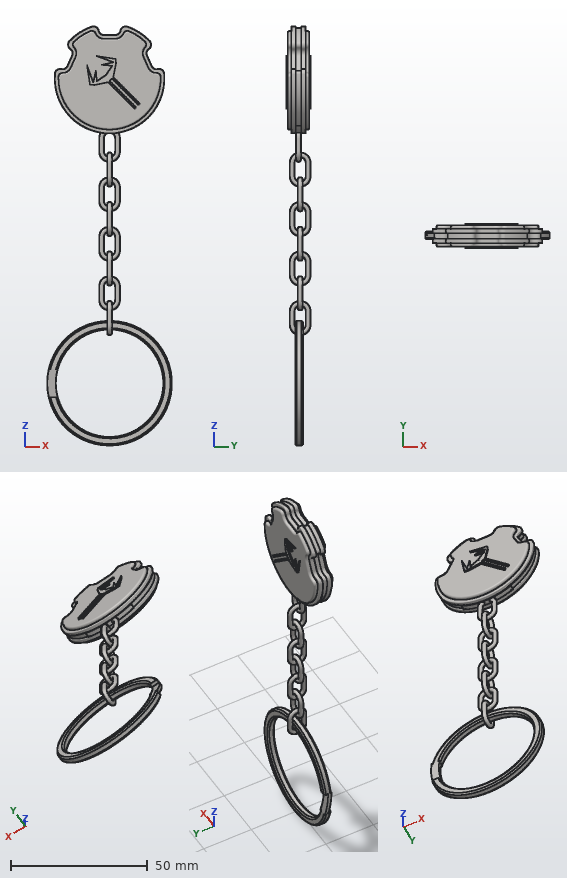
import cadquery as cq
import math

ring_radius = 22.8
ring_width = 3.2
coil_thickness = 1.45
coil_chamfer = 0.6
crossover_half_height = 5.0
ring_y = 0.23
ring_center_z = ring_radius
ring_inner_radius = ring_radius - ring_width

link_count = 8
wire_diameter = 1.8
link_length = 12.5
link_width = 7.7
link_bite = 0.2
ring_gap = 0.23
chain_y = 0.6
wire_radius = wire_diameter / 2
link_pitch = link_length - 2 * wire_diameter + link_bite
last_link_z = ring_center_z + ring_inner_radius - ring_gap - wire_diameter + link_length / 2

medallion_radius = 20.1
notch_angles = [24, 90, 156]
notch_floor = 16.0
notch_half_width = 4.0
notch_corner_radius = 1.8
rim_tip_radius = 2.0
core_thickness = wire_diameter
core_inset = 0.6
lug_top = -17.3
rim_thickness = 1.7
rim_inner_fillet = 0.5
rim_outer_fillet = 0.23
face_inset = 1.4
face_thickness = 1.4
face_fillet = 0.8
face_tip_radius = 1.5
face_y = core_thickness / 2 + rim_thickness + face_thickness
overall_height = 153.3
tip_top = rim_tip_radius + math.sqrt(
    (medallion_radius - rim_tip_radius) ** 2 - (notch_half_width + rim_tip_radius) ** 2
)
medallion_z = overall_height - tip_top

overall_thickness = 9.0
arrow_height = overall_thickness / 2 - face_y
arrow_angle = 135
arrow_overlap = 0.3
shaft_start = -0.6
shaft_end = -14.3
shaft_inner = 0.6
shaft_outer = 1.3
head_half = [
    (1.8, 0), (2.6, 4.0), (5.5, 1.5), (3.2, 5.2), (9.2, 2.5),
    (3.5, 6.6), (2.3, 5.7), (shaft_start, shaft_outer), (shaft_start, 0),
]


def is_notch_tip(point, radius):
    """True where a notch wall meets the round rim; the rim's own seam lies at height zero."""
    rim_tolerance = 0.02
    on_rim = math.hypot(point.x, point.z) > radius - rim_tolerance
    return on_rim and abs(point.z) > rim_tolerance


def plate(inset, tip_radius, thickness, back_y):
    """Notched disc shrunk all round by inset, its rear face at back_y, growing toward -Y."""
    radius = medallion_radius - inset
    floor = notch_floor - inset
    half_width = notch_half_width + inset
    corner_radius = notch_corner_radius + inset
    disc = cq.Workplane("XZ").circle(radius).extrude(thickness)
    for angle in notch_angles:
        notch = (
            cq.Workplane("XZ")
            .center(floor + medallion_radius / 2, 0)
            .rect(medallion_radius, 2 * half_width)
            .extrude(thickness)
            .edges("|Y and <X")
            .fillet(corner_radius)
            .rotate((0, 0, 0), (0, 1, 0), -angle)
        )
        disc = disc.cut(notch)
    tips = disc.edges("|Y").filter(lambda edge: is_notch_tip(edge.Center(), radius))
    disc = disc.newObject(tips.vals()).fillet(tip_radius)
    return disc.translate((0, back_y, medallion_z))


def make_arrow():
    """Raised arrow with a barbed head and a shaft of two thin ribs."""
    depth = arrow_height + arrow_overlap
    rib_length = shaft_start - shaft_end
    arrow = None
    for side in (1, -1):
        head = (
            cq.Workplane("XZ")
            .polyline([(along, side * across) for along, across in head_half])
            .close()
            .extrude(depth)
        )
        rib = (
            cq.Workplane("XZ")
            .center((shaft_start + shaft_end) / 2, side * (shaft_inner + shaft_outer) / 2)
            .rect(rib_length, shaft_outer - shaft_inner)
            .extrude(depth)
        )
        half = head.union(rib)
        arrow = half if arrow is None else arrow.union(half)
    arrow = arrow.rotate((0, 0, 0), (0, 1, 0), -arrow_angle)
    return arrow.translate((0, arrow_overlap - face_y, medallion_z))


def make_front_cover():
    """Rounded rim layer, a smaller face layer in front of it, and the raised arrow."""
    rim_back_y = -core_thickness / 2
    rim = plate(0, rim_tip_radius, rim_thickness, rim_back_y)
    rim = rim.faces(">Y").edges().fillet(rim_inner_fillet)
    rim = rim.faces("<Y").edges().fillet(rim_outer_fillet)
    face = plate(face_inset, face_tip_radius, face_thickness, rim_back_y - rim_thickness)
    face = face.faces("<Y").edges().fillet(face_fillet)
    return rim.union(face).union(make_arrow())


def make_link():
    """Upright rounded link in the XZ plane, centred on the origin."""
    bend_radius = (link_width - wire_diameter) / 2
    half_straight = (link_length - link_width) / 2
    path = (
        cq.Workplane("XZ")
        .moveTo(bend_radius, -half_straight)
        .lineTo(bend_radius, half_straight)
        .threePointArc((0, half_straight + bend_radius), (-bend_radius, half_straight))
        .lineTo(-bend_radius, -half_straight)
        .threePointArc((0, -half_straight - bend_radius), (bend_radius, -half_straight))
        .close()
    )
    section = cq.Workplane("XY", origin=(bend_radius, 0, -half_straight)).circle(wire_radius)
    return section.sweep(path)


def make_lug():
    """Lower segment of a full-size disc, flush with the covers where the chain hangs."""
    disc = cq.Workplane("XZ").circle(medallion_radius).extrude(core_thickness / 2, both=True)
    upper_block = (
        cq.Workplane("XY", origin=(0, 0, lug_top))
        .rect(2 * medallion_radius, 2 * core_thickness)
        .extrude(2 * medallion_radius)
    )
    return disc.cut(upper_block).translate((0, 0, medallion_z))


def make_core_with_chain():
    """Core plate with the chain fused to its lower edge."""
    tip_radius = rim_tip_radius - core_inset
    body = plate(core_inset, tip_radius, core_thickness, core_thickness / 2).union(make_lug())
    for index in range(link_count):
        link = make_link()
        if index % 2 == 1:
            link = link.rotate((0, 0, 0), (0, 0, 1), 90)
        link_y = 0 if index == 0 else chain_y
        link_z = last_link_z + (link_count - 1 - index) * link_pitch
        body = body.union(link.translate((0, link_y, link_z)))
    return body


def make_key_ring():
    """Two open coils joined on the -X side by a bar slanting from front to rear."""
    box_reach = 2 * ring_radius
    gap = (
        cq.Workplane("XY")
        .box(box_reach, box_reach, 2 * crossover_half_height)
        .translate((-box_reach / 2, 0, 0))
    )
    front_coil = (
        cq.Workplane("XZ")
        .circle(ring_radius)
        .circle(ring_inner_radius)
        .extrude(coil_thickness)
        .faces("<Y")
        .edges()
        .chamfer(coil_chamfer)
        .cut(gap)
    )
    top = crossover_half_height
    bar = (
        cq.Workplane("YZ")
        .polyline([(-coil_thickness, top), (0, top), (coil_thickness, -top), (0, -top)])
        .close()
        .extrude(-box_reach)
    )
    band = (
        cq.Workplane("XZ")
        .circle(ring_radius)
        .circle(ring_inner_radius)
        .extrude(coil_thickness, both=True)
    )
    ring = front_coil.union(front_coil.mirror("XZ")).union(bar.intersect(band))
    return ring.translate((0, ring_y, ring_center_z))


front_cover = make_front_cover()
back_cover = front_cover.mirror("XZ")
core_with_chain = make_core_with_chain()
key_ring = make_key_ring()

result = cq.Compound.makeCompound(
    [front_cover.val(), back_cover.val(), core_with_chain.val(), key_ring.val()]
)